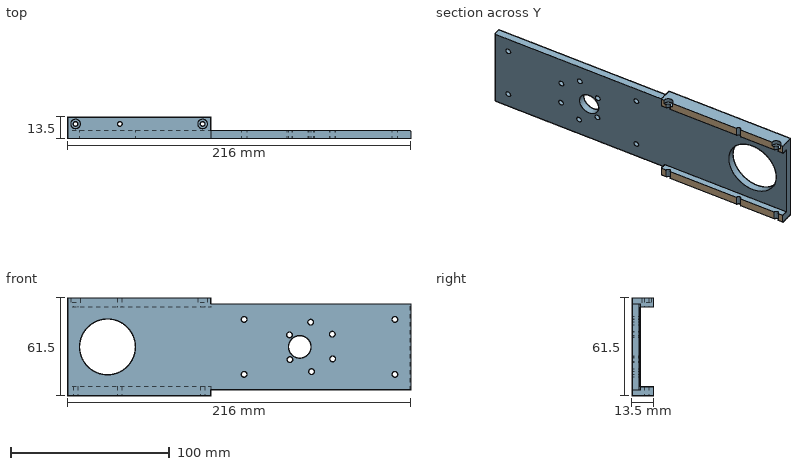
import cadquery as cq
import math

length = 216.0
depth = 13.5
head_height = 61.5
head_length = 90.0
arm_height = 54.0
plate_thickness = 5.2
channel_height = 50.0
end_chamfer = 0.6

window_diameter = 35.0
window_x = 25.0
shaft_diameter = 14.0
shaft_x = 146.0
screw_diameter = 3.5
corner_x_left = 111.0
corner_x_right = 205.8
corner_z = 17.3
bolt_circle_x = 153.1
bolt_circle_radius = 15.5
bolt_count = 6
bolt_circle_tilt = 1.0

flange_hole_y = depth - 4.3
flange_pilot_diameter = 2.8
flange_pilot_x = 32.8
counterbore_diameter = 6.0
counterbore_depth = 2.8
counterbored_hole_xs = (5.0, 84.9)


def block(x_start, x_end, y_start, y_end, height):
    """Box centred on Z = 0 between the given X and Y limits."""
    size_x = x_end - x_start
    size_y = y_end - y_start
    return cq.Workplane("XY").box(size_x, size_y, height, centered=(False, False, True)).translate(
        (x_start, y_start, 0)
    )


def plate_holes(points, diameter):
    """Cylinders along Y through the plate, at (x, z) points."""
    return (
        cq.Workplane("XZ")
        .pushPoints(points)
        .circle(diameter / 2)
        .extrude(-plate_thickness)
    )


def vertical_holes(xs, diameter, z_start, height):
    """Cylinders along Z on the flange hole line."""
    points = [(x, flange_hole_y) for x in xs]
    return (
        cq.Workplane("XY", origin=(0, 0, z_start))
        .pushPoints(points)
        .circle(diameter / 2)
        .extrude(height)
    )


head = block(0, head_length, 0, depth, head_height)
channel = block(0, head_length, plate_thickness, depth, channel_height)
arm = block(0, length, 0, plate_thickness, arm_height)
arm = arm.faces(">X").edges(">Y").chamfer(end_chamfer)
body = head.cut(channel).union(arm)

corner_points = [(x, z) for x in (corner_x_left, corner_x_right) for z in (-corner_z, corner_z)]
bolt_points = []
for index in range(bolt_count):
    angle = math.radians(90 + bolt_circle_tilt + index * 360 / bolt_count)
    bolt_x = bolt_circle_x + bolt_circle_radius * math.cos(angle)
    bolt_z = bolt_circle_radius * math.sin(angle)
    bolt_points.append((bolt_x, bolt_z))

body = body.cut(plate_holes([(window_x, 0)], window_diameter))
body = body.cut(plate_holes([(shaft_x, 0)], shaft_diameter))
body = body.cut(plate_holes(corner_points + bolt_points, screw_diameter))

bottom_z = -head_height / 2
counterbore_z = head_height / 2 - counterbore_depth
body = body.cut(vertical_holes([flange_pilot_x], flange_pilot_diameter, bottom_z, head_height))
body = body.cut(vertical_holes(counterbored_hole_xs, flange_pilot_diameter, bottom_z, head_height))
body = body.cut(vertical_holes(counterbored_hole_xs, counterbore_diameter, counterbore_z, counterbore_depth))

result = body